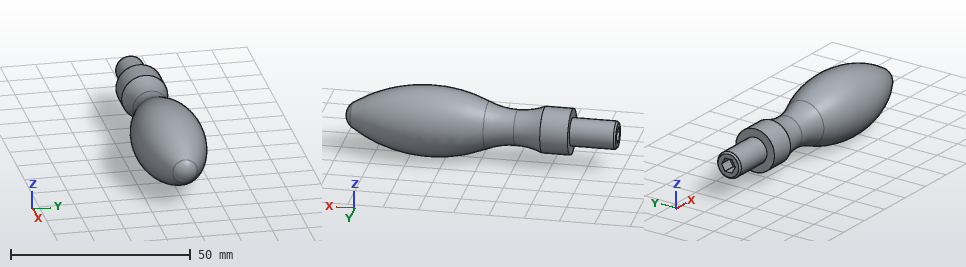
import cadquery as cq
import math

total_length = 77.0
stud_length = 13.0
stud_radius = 4.0
stud_chamfer = 0.55
collar_length = 7.85
collar_radius = 6.55
neck_x = 28.65
neck_radius = 5.0
grip_start_x = 36.9
grip_start_radius = 6.7
grip_max_radius = 10.0
nose_x = 75.2
nose_radius = 3.5
socket_flats = 4.0
socket_depth = 4.0

collar_end_x = stud_length + collar_length


def widest_grip_point():
    """Find where the grip arc through both its ends reaches the largest radius."""
    span = nose_x - grip_start_x
    start_drop = grip_max_radius - grip_start_radius
    nose_drop = grip_max_radius - nose_radius
    a = start_drop - nose_drop
    b = 2 * nose_drop * span
    c = start_drop * nose_drop * (nose_drop - start_drop) - nose_drop * span**2
    nose_offset = (-b + math.sqrt(b**2 - 4 * a * c)) / (2 * a)
    return (nose_x - nose_offset, grip_max_radius)


def level_arc_middle(level_point, end_point):
    """Midpoint of an arc that runs parallel to X at level_point and passes end_point."""
    dx = end_point[0] - level_point[0]
    dr = end_point[1] - level_point[1]
    signed_radius = (dx**2 + dr**2) / (2 * dr)
    half_angle = math.asin(dx / signed_radius) / 2
    return (
        level_point[0] + signed_radius * math.sin(half_angle),
        level_point[1] + signed_radius * (1 - math.cos(half_angle)),
    )


def make_body():
    neck = (neck_x, neck_radius)
    collar_end = (collar_end_x, collar_radius)
    grip_start = (grip_start_x, grip_start_radius)
    nose_start = (nose_x, nose_radius)
    nose_tip = (total_length, 0)
    middle_radius, middle_x = level_arc_middle((0, total_length), (nose_radius, nose_x))
    profile = (
        cq.Workplane("XY")
        .lineTo(0, stud_radius - stud_chamfer)
        .lineTo(stud_chamfer, stud_radius)
        .lineTo(stud_length, stud_radius)
        .lineTo(stud_length, collar_radius)
        .lineTo(*collar_end)
        .threePointArc(level_arc_middle(neck, collar_end), neck)
        .threePointArc(level_arc_middle(neck, grip_start), grip_start)
        .threePointArc(widest_grip_point(), nose_start)
        .threePointArc((middle_x, middle_radius), nose_tip)
        .close()
    )
    return profile.revolve(360, (0, 0, 0), (1, 0, 0))


def make_socket():
    corner_diameter = socket_flats / math.cos(math.pi / 6)
    return cq.Workplane("YZ").polygon(6, corner_diameter).extrude(socket_depth)


result = make_body().cut(make_socket())